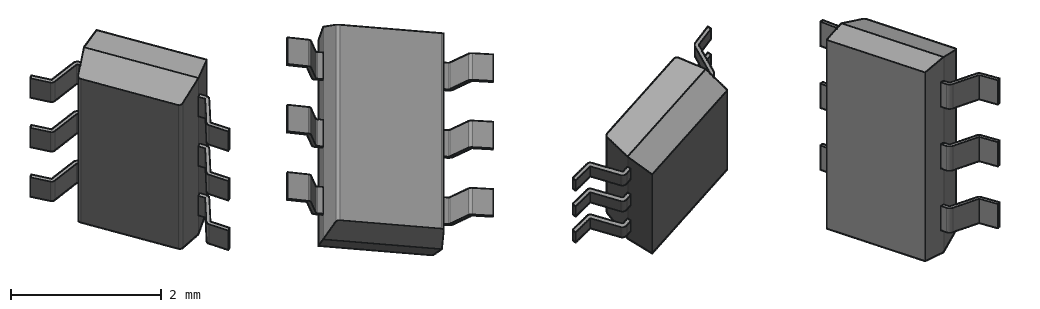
import cadquery as cq
import math

body_width = 1.62
body_height = 3.0
back_depth = 0.40
front_depth = 0.45
back_inset_x = 0.03
back_inset_z = 0.05
front_draft_x = 10.0
front_draft_z = 15.0
front_edge_radius = 0.05

lead_span = 2.81
lead_thickness = 0.055
lead_width = 0.375
lead_pitch = 0.95
leads_per_side = 3
shoulder_inner_radius = 0.02
shoulder_outer_radius = shoulder_inner_radius + lead_thickness
shoulder_bend_x = 0.893
leg_angle = 22.5
leg_length = 0.423
foot_angle = 4.0
lead_root_x = 0.70


def tapered_half(end_y, inset_x, inset_z):
    """Loft from the parting plane to a smaller rectangle at end_y."""
    parting = cq.Workplane("XZ").rect(body_width, body_height)
    end = parting.workplane(offset=-end_y)
    return end.rect(body_width - 2 * inset_x, body_height - 2 * inset_z).loft(ruled=True)


def make_body():
    front_inset_x = front_depth * math.tan(math.radians(front_draft_x))
    front_inset_z = front_depth * math.tan(math.radians(front_draft_z))
    front = tapered_half(-front_depth, front_inset_x, front_inset_z)
    front = front.faces("<Y").edges("|Z").fillet(front_edge_radius)
    back = tapered_half(back_depth, back_inset_x, back_inset_z)
    return front.union(back)


def toward(start, angle, distance):
    """Point at a distance from start; angle in degrees from +X toward +Y."""
    turn = math.radians(angle)
    return (start[0] + distance * math.cos(turn), start[1] + distance * math.sin(turn))


def make_lead():
    """Constant-thickness bent strip on the +X side, centred on Z = 0."""
    shoulder_normal = 90.0
    leg_normal = leg_angle
    foot_normal = 90.0 - foot_angle
    shoulder_mid = (shoulder_normal + leg_normal) / 2
    knee_mid = (leg_normal + foot_normal) / 2

    shoulder = (shoulder_bend_x, -shoulder_inner_radius)
    leg_start = toward(shoulder, leg_normal, shoulder_outer_radius)
    knee = toward(leg_start, leg_normal - 90, leg_length)

    foot_length = (lead_span / 2 - knee[0]) / math.cos(math.radians(foot_angle))
    foot_inner_tip = toward(knee, -foot_angle, foot_length)
    foot_outer_tip = toward(foot_inner_tip, foot_normal, -lead_thickness)

    profile = (
        cq.Workplane("XY", origin=(0, 0, -lead_width / 2))
        .moveTo(lead_root_x, lead_thickness)
        .lineTo(*toward(shoulder, shoulder_normal, shoulder_outer_radius))
        .threePointArc(
            toward(shoulder, shoulder_mid, shoulder_outer_radius),
            leg_start,
        )
        .lineTo(*knee)
        .lineTo(*foot_inner_tip)
        .lineTo(*foot_outer_tip)
        .lineTo(*toward(knee, foot_normal, -lead_thickness))
        .threePointArc(
            toward(knee, knee_mid, -lead_thickness),
            toward(knee, leg_normal, -lead_thickness),
        )
        .lineTo(*toward(shoulder, leg_normal, shoulder_inner_radius))
        .threePointArc(
            toward(shoulder, shoulder_mid, shoulder_inner_radius),
            toward(shoulder, shoulder_normal, shoulder_inner_radius),
        )
        .lineTo(lead_root_x, 0)
        .close()
    )
    return profile.extrude(lead_width)


result = make_body()
right_lead = make_lead()
left_lead = right_lead.mirror("YZ")
for index in range(leads_per_side):
    lead_z = (index - (leads_per_side - 1) / 2) * lead_pitch
    for lead in (right_lead, left_lead):
        result = result.union(lead.translate((0, 0, lead_z)))